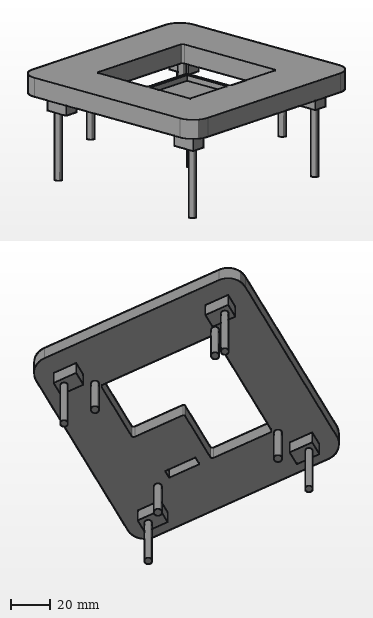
import cadquery as cq

plate_side = 120.0
plate_thickness = 10.2
plate_corner_radius = 10.0

opening_side = 64.5
opening_half = opening_side / 2
opening_corner_radius = 1.2
tray_corner_radius = 1.0
tray_side = 29.6

tray_wall = 1.9
pocket_right_inset = 0.5
pocket_depth = 3.0
pocket_left = opening_half - tray_side + tray_wall
pocket_right = opening_half - pocket_right_inset
pocket_back = -opening_half + tray_side - tray_wall
pocket_front = -opening_half

slot_left = 9.5
slot_length = 17.4
slot_width = 4.5

post_diameter = 4.2
post_length = 25.0
post_offset = 34.5

overall_height = 56.9
block_length = 13.0
block_width = 7.9
block_height = 9.7
block_outer = plate_side / 2 - plate_corner_radius
leg_diameter = 4.0
leg_length = overall_height - plate_thickness - block_height
leg_offset = block_outer - block_width / 2

corner_signs = [(sx, sy) for sx in (-1, 1) for sy in (-1, 1)]


def box_between(left, right, front, back, bottom, top):
    """Box spanning the given X, Y and Z limits."""
    size = (right - left, back - front, top - bottom)
    return cq.Workplane("XY").box(*size, centered=False).translate((left, front, bottom))


def rod_down(x, y, top, diameter, length):
    """Vertical rod hanging down from the given height."""
    return cq.Workplane("XY", origin=(x, y, top)).circle(diameter / 2).extrude(-length)


def make_opening():
    """L-shaped cutter: the square opening less the tray corner."""
    tray_left = opening_half - tray_side
    tray_back = -opening_half + tray_side
    opening = (
        cq.Workplane("XY")
        .rect(opening_side, opening_side)
        .extrude(-plate_thickness)
    )
    tray = box_between(tray_left, opening_half, -opening_half, tray_back, -plate_thickness, 0)
    tray_corner = cq.selectors.NearestToPointSelector((tray_left, tray_back, -plate_thickness / 2))
    cutter = opening.cut(tray)
    cutter = cutter.edges("|Z").edges(tray_corner).fillet(tray_corner_radius)
    return cutter.edges("(<X or >X or <Y or >Y) and |Z").fillet(opening_corner_radius)


def make_plate():
    """Rounded square plate with its opening, tray pocket and slot."""
    plate = (
        cq.Workplane("XY")
        .rect(plate_side, plate_side)
        .extrude(-plate_thickness)
        .edges("|Z")
        .fillet(plate_corner_radius)
    )
    pocket = box_between(pocket_left, pocket_right, pocket_front, pocket_back, -pocket_depth, 0)
    slot = box_between(
        slot_left, slot_left + slot_length,
        pocket_front, pocket_front + slot_width,
        -plate_thickness, 0,
    )
    return plate.cut(make_opening()).cut(pocket).cut(slot)


def make_post(sx, sy):
    """Round post under the plate, beside one corner of the opening."""
    return rod_down(sx * post_offset, sy * post_offset, -plate_thickness, post_diameter, post_length)


def make_foot(sx, sy):
    """Block under one plate corner with its leg, which sits towards the block's outer end."""
    block_bottom = -plate_thickness - block_height
    block_x = sx * (block_outer - block_length / 2)
    block_y = sy * (block_outer - block_width / 2)
    block = (
        cq.Workplane("XY", origin=(block_x, block_y, block_bottom))
        .rect(block_length, block_width)
        .extrude(block_height)
    )
    leg = rod_down(sx * leg_offset, sy * leg_offset, block_bottom, leg_diameter, leg_length)
    return block.union(leg)


plate = make_plate()
posts = [make_post(sx, sy) for sx, sy in corner_signs]
feet = [make_foot(sx, sy) for sx, sy in corner_signs]

result = cq.Compound.makeCompound(
    [plate.val()] + [post.val() for post in posts] + [foot.val() for foot in feet]
)